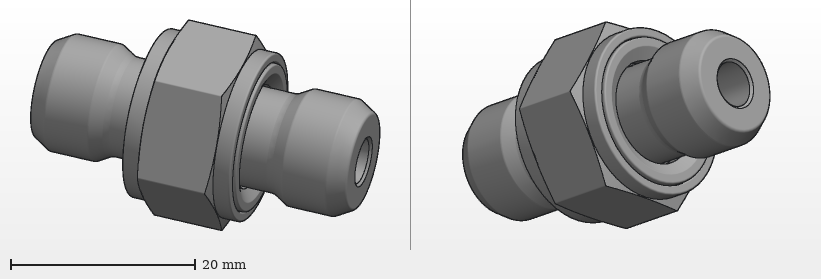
import cadquery as cq
import math

length = 36.5
half_length = length / 2

stud_radius = 13.1 / 2
neck_radius = 11.1 / 2
cone_angle = math.radians(30)
nose_length = 2.0
stud_back = 7.08
nose_fillet = 0.4
shoulder_fillet = 0.4
neck_fillet = 1.4

across_flats = 19.0
hex_width = 8.55
hex_corner_fillet = 0.2
hex_chamfer_radius = 18.98 / 2
hex_chamfer_angle = math.radians(15)
flange_radius = 18.8 / 2
flange_width = 1.95
edge_fillet = 0.22
flange_face = hex_width / 2 + flange_width

bore_radius = 5.0 / 2
bore_chamfer = 0.3

groove_radius = 16.65 / 2
groove_depth = flange_width
groove_floor = flange_face - groove_depth
seal_radius = 16.5 / 2
seal_bore_radius = 11.6 / 2
seal_mouth_radius = 14.38 / 2
seal_mouth_angle = math.radians(30)
seal_mouth_depth = (seal_mouth_radius - seal_bore_radius) * math.tan(seal_mouth_angle)
seal_proud = 0.33
seal_face = flange_face + seal_proud


def ring_at(radius, x):
    """Selector for the circular edge of the given radius, at distance x from the middle on the +X side."""
    tolerance = 0.02
    low = (x - tolerance, -radius - tolerance, -radius - tolerance)
    high = (x + tolerance, radius + tolerance, radius + tolerance)
    return cq.selectors.BoxSelector(low, high, boundingbox=True)


def revolve_about_x(points):
    """Solid of revolution about X from (x, radius) points."""
    return cq.Workplane("XY").polyline(points).close().revolve(360, (0, 0, 0), (1, 0, 0))


def mirrored(body):
    """Copy of a body on the opposite end of the fitting."""
    return body.mirror("YZ")


def make_hexagon():
    """Hexagon with flats facing +Z and -Z and corners turned down to shallow cones."""
    corner_radius = across_flats / 2 / math.cos(math.radians(30))
    hexagon = (
        cq.Workplane("YZ")
        .polygon(6, 2 * corner_radius)
        .extrude(hex_width / 2, both=True)
        .edges("|X")
        .fillet(hex_corner_fillet)
    )
    half_width = hex_width / 2
    shoulder = half_width - (corner_radius - hex_chamfer_radius) * math.tan(hex_chamfer_angle)
    envelope = revolve_about_x([
        (-half_width, 0),
        (-half_width, hex_chamfer_radius),
        (-shoulder, corner_radius),
        (shoulder, corner_radius),
        (half_width, hex_chamfer_radius),
        (half_width, 0),
    ])
    return hexagon.intersect(envelope)


def make_stud():
    """Stud on the +X side, with a coned nose and a coned run-out to the neck."""
    slope = math.tan(cone_angle)
    nose_radius = stud_radius - nose_length * slope
    runout_length = (stud_radius - neck_radius) / slope
    runout_end = half_length - stud_back - runout_length
    stud = revolve_about_x([
        (0, 0),
        (0, neck_radius),
        (runout_end, neck_radius),
        (half_length - stud_back, stud_radius),
        (half_length - nose_length, stud_radius),
        (half_length, nose_radius),
        (half_length, 0),
    ])
    stud = stud.edges(ring_at(neck_radius, runout_end)).fillet(neck_fillet)
    for shoulder_inset in (stud_back, nose_length):
        stud = stud.edges(ring_at(stud_radius, half_length - shoulder_inset)).fillet(shoulder_fillet)
    return stud.edges(ring_at(nose_radius, half_length)).fillet(nose_fillet)


def make_flange():
    """Flange on the +X side of the hexagon, with an annular seal groove open to its face."""
    flange = cq.Workplane("YZ").circle(flange_radius).extrude(flange_face)
    groove = (
        cq.Workplane("YZ", origin=(groove_floor, 0, 0))
        .circle(groove_radius)
        .extrude(groove_depth)
    )
    return flange.cut(groove).faces(">X").edges().fillet(edge_fillet)


def make_groove_space():
    """Space around the neck that the seal groove leaves open."""
    return (
        cq.Workplane("YZ", origin=(groove_floor, 0, 0))
        .circle(groove_radius)
        .circle(neck_radius)
        .extrude(groove_depth)
    )


def make_bore():
    """Through bore, widened by a chamfer at each end."""
    mouth_radius = bore_radius + bore_chamfer
    return revolve_about_x([
        (-half_length, 0),
        (-half_length, mouth_radius),
        (-half_length + bore_chamfer, bore_radius),
        (half_length - bore_chamfer, bore_radius),
        (half_length, mouth_radius),
        (half_length, 0),
    ])


def make_fitting():
    """Hexagon, flanges and studs as one turned body."""
    fitting = make_hexagon()
    flange = make_flange()
    fitting = fitting.union(flange).union(mirrored(flange))
    groove_space = make_groove_space()
    fitting = fitting.cut(groove_space).cut(mirrored(groove_space))
    stud = make_stud()
    fitting = fitting.union(stud).union(mirrored(stud))
    return fitting.cut(make_bore())


def make_seal():
    """Seal ring on the +X side, with a funnel mouth and a rounded outer edge."""
    seal = revolve_about_x([
        (groove_floor, seal_bore_radius),
        (groove_floor, seal_radius),
        (seal_face, seal_radius),
        (seal_face, seal_mouth_radius),
        (seal_face - seal_mouth_depth, seal_bore_radius),
    ])
    return seal.edges(ring_at(seal_radius, seal_face)).fillet(edge_fillet)


fitting = make_fitting()
seal_ring = make_seal()
seals = [seal_ring, mirrored(seal_ring)]

result = cq.Compound.makeCompound([fitting.val(), *[seal.val() for seal in seals]])